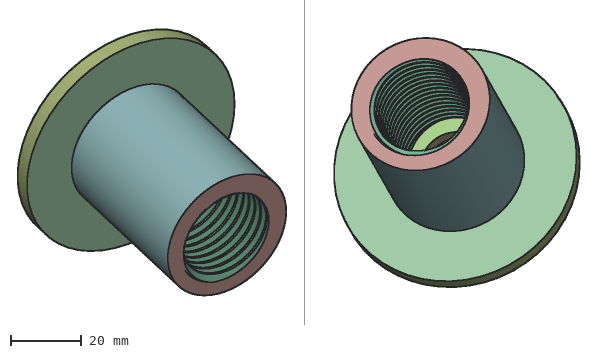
import cadquery as cq
import math

flange_diameter = 70.0
flange_thickness = 5.0
flange_hole_diameter = 20.0
sleeve_diameter = 40.0
total_length = 55.0

thread_crest_diameter = 27.4
thread_pitch = 3.0
crest_width = thread_pitch / 4
thread_run_out = 4.05
flank_angle = 30.0
cutter_overlap = 0.2
start_angle = 350.0


def cylinder(diameter, start, length):
    return cq.Workplane("YZ", origin=(start, 0, 0)).circle(diameter / 2).extrude(length)


def ring(outer_diameter, inner_diameter, start, length):
    return cylinder(outer_diameter, start, length).cut(cylinder(inner_diameter, start, length))


def thread_groove():
    """V-shaped helical groove that runs out past both ends of the sleeve."""
    crest_radius = thread_crest_diameter / 2
    flank_slope = math.tan(math.radians(flank_angle))
    half_mouth = (thread_pitch - crest_width) / 2
    root_radius = crest_radius + half_mouth / flank_slope
    inner_radius = crest_radius - cutter_overlap
    half_cutter = half_mouth + cutter_overlap * flank_slope

    helix_length = total_length - flange_thickness + 2 * thread_run_out
    helix = cq.Wire.makeHelix(thread_pitch, helix_length, crest_radius)
    groove = (
        cq.Workplane("XZ")
        .polyline([
            (inner_radius, -half_cutter),
            (root_radius, 0),
            (inner_radius, half_cutter),
        ])
        .close()
        .sweep(cq.Workplane(obj=helix), isFrenet=True)
    )
    groove = groove.rotate((0, 0, 0), (0, 1, 0), 90)
    groove = groove.rotate((0, 0, 0), (1, 0, 0), start_angle)
    return groove.translate((flange_thickness - thread_run_out, 0, 0))


flange = ring(flange_diameter, flange_hole_diameter, 0, flange_thickness)
sleeve_length = total_length - flange_thickness
sleeve = ring(sleeve_diameter, thread_crest_diameter, flange_thickness, sleeve_length)
groove_in_sleeve = thread_groove().intersect(cylinder(sleeve_diameter, flange_thickness, sleeve_length))
threaded_sleeve = sleeve.cut(groove_in_sleeve)

result = flange.union(threaded_sleeve)